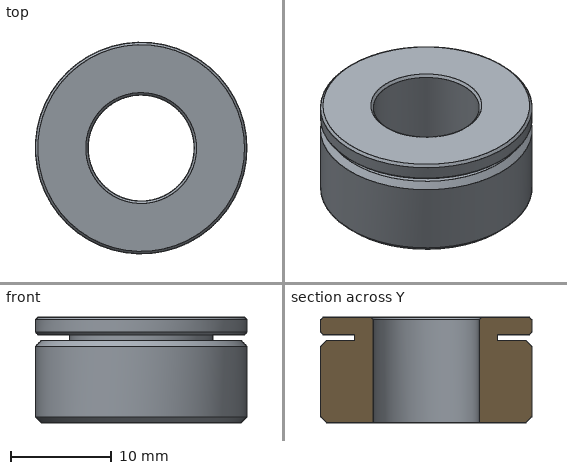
import cadquery as cq

outer_diameter = 21.0
height = 10.5
bore_diameter = 10.5

flange_thickness = 1.75
groove_width = 0.55
neck_diameter = 14.25

flange_chamfer = 0.25
body_chamfer = 0.6
bore_chamfer = 0.25

body_height = height - flange_thickness - groove_width


def disc(diameter, thickness, base_z):
    """Solid disc centred on the Z axis, standing on base_z."""
    return cq.Workplane("XY").workplane(offset=base_z).circle(diameter / 2).extrude(thickness)


def chamfered_disc(thickness, base_z, chamfer):
    """Full-diameter disc with both rims chamfered."""
    return disc(outer_diameter, thickness, base_z).edges().chamfer(chamfer)


body = chamfered_disc(body_height, 0, body_chamfer)
neck = disc(neck_diameter, height, 0)
flange = chamfered_disc(flange_thickness, height - flange_thickness, flange_chamfer)
bore = disc(bore_diameter, height, 0)

result = body.union(neck).union(flange).cut(bore)

result = result.faces(">Z").edges(cq.selectors.RadiusNthSelector(0)).chamfer(bore_chamfer)